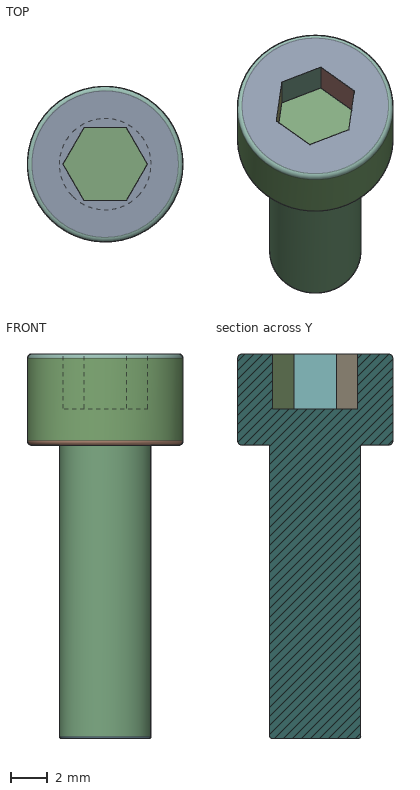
import cadquery as cq
import math

total_length = 21.0
head_diameter = 8.5
shank_diameter = 5.0
head_height = shank_diameter
shank_length = total_length - head_height
head_edge_radius = 0.25
tip_edge_radius = 0.1
socket_across_flats = 4.0
socket_depth = 3.0


def make_shank():
    """Plain cylindrical shank with a slightly rounded tip."""
    shank = cq.Workplane("XY").circle(shank_diameter / 2).extrude(shank_length)
    return shank.faces("<Z").edges().fillet(tip_edge_radius)


def make_head():
    """Cylindrical head with both rims rounded."""
    head = cq.Workplane("XY").workplane(offset=shank_length)
    head = head.circle(head_diameter / 2).extrude(head_height)
    return head.edges("%CIRCLE").fillet(head_edge_radius)


def make_socket():
    """Hexagonal socket with two corners on the X axis."""
    across_corners = socket_across_flats / math.cos(math.pi / 6)
    socket = cq.Workplane("XY").workplane(offset=total_length)
    return socket.polygon(6, across_corners).extrude(-socket_depth)


result = make_shank().union(make_head()).cut(make_socket())